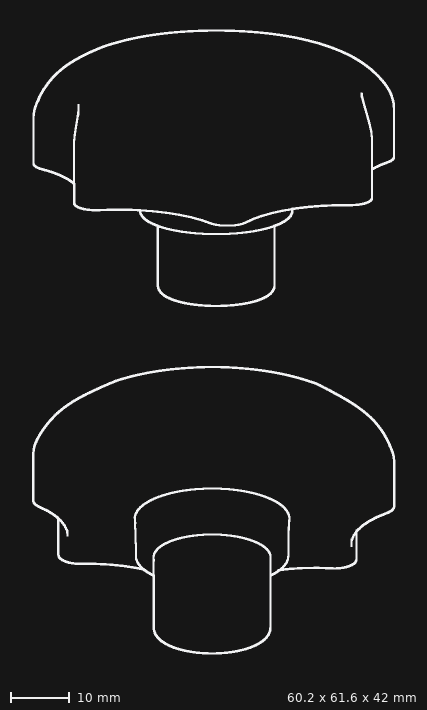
import cadquery as cq
import math

SPAN = 61.6
LOBES = 7
LOBE_PITCH = 360 / LOBES
LOBE_RADIUS = 3.75
LOBE_CENTRE = (SPAN / 2 - LOBE_RADIUS) / math.cos(math.radians(LOBE_PITCH / 4))
VALLEY_REACH = 25.3
TIP_REACH = LOBE_CENTRE + LOBE_RADIUS
TIP_TRIM = 0.03
BLANK_RADIUS = TIP_REACH + TIP_TRIM
RIM_ROUND = 1.25
BASE_ROUND = 0.3

GRIP_HEIGHT = 20.95
DOME_RADIUS = 22.85
DOME_EDGE_HEIGHT = 18.25

HUB_HEIGHT = 7.15
HUB_TOP_RADIUS = 13.2
HUB_BOTTOM_RADIUS = 13.0
HUB_ROUND = 0.3
BUSHING_RADIUS = 10.0
BUSHING_LENGTH = 13.9
BUSHING_ROUND = 1.0

HUB_BASE = BUSHING_LENGTH
GRIP_BASE = HUB_BASE + HUB_HEIGHT


def polar(radius, degrees):
    angle = math.radians(degrees)
    return (radius * math.cos(angle), radius * math.sin(angle))


def star_prism():
    """Seven round lobes joined by concave arcs tangent to them; one lobe points to -X."""
    half_pitch = LOBE_PITCH / 2
    lobe_along, lobe_across = polar(LOBE_CENTRE, half_pitch)

    gap = VALLEY_REACH - lobe_along
    valley_radius = (gap**2 + lobe_across**2 - LOBE_RADIUS**2) / (2 * (LOBE_RADIUS - gap))
    valley_centre = VALLEY_REACH + valley_radius
    share = LOBE_RADIUS / (LOBE_RADIUS + valley_radius)
    touch_along = lobe_along + share * (valley_centre - lobe_along)
    touch_across = lobe_across * (1 - share)
    touch_reach = math.hypot(touch_along, touch_across)
    touch_angle = math.degrees(math.atan2(touch_across, touch_along))

    outline = cq.Workplane("XY", origin=(0, 0, GRIP_BASE)).moveTo(*polar(touch_reach, -touch_angle))
    for lobe in range(LOBES):
        valley = lobe * LOBE_PITCH
        outline = outline.threePointArc(polar(VALLEY_REACH, valley), polar(touch_reach, valley + touch_angle))
        outline = outline.threePointArc(
            polar(TIP_REACH, valley + half_pitch),
            polar(touch_reach, valley + LOBE_PITCH - touch_angle),
        )
    return outline.close().extrude(GRIP_HEIGHT)


def domed_blank():
    """Turned envelope of the grip: shallow dome, then a tangent shoulder down to the lobe tips."""
    dome_rise = GRIP_HEIGHT - DOME_EDGE_HEIGHT
    edge_slope = 2 * math.atan2(dome_rise, DOME_RADIUS)
    shoulder_radius = (BLANK_RADIUS - DOME_RADIUS) / (1 - math.sin(edge_slope))
    shoulder_height = DOME_EDGE_HEIGHT - shoulder_radius * math.cos(edge_slope)
    dome_sphere = DOME_RADIUS / math.sin(edge_slope)
    mid_dome = (
        DOME_RADIUS * math.sin(edge_slope / 2) / math.sin(edge_slope),
        GRIP_HEIGHT - dome_sphere * (1 - math.cos(edge_slope / 2)),
    )
    mid_angle = (math.pi / 2 - edge_slope) / 2
    mid_shoulder = (
        BLANK_RADIUS - shoulder_radius * (1 - math.cos(mid_angle)),
        shoulder_height + shoulder_radius * math.sin(mid_angle),
    )
    profile = (
        cq.Workplane("XZ", origin=(0, 0, GRIP_BASE))
        .lineTo(BLANK_RADIUS, 0)
        .lineTo(BLANK_RADIUS, shoulder_height)
        .threePointArc(mid_shoulder, (DOME_RADIUS, DOME_EDGE_HEIGHT))
        .threePointArc(mid_dome, (0, GRIP_HEIGHT))
        .close()
    )
    return profile.revolve(360, (0, 0, 0), (0, 1, 0))


def build_hub():
    profile = (
        cq.Workplane("XZ", origin=(0, 0, HUB_BASE))
        .lineTo(HUB_BOTTOM_RADIUS, 0)
        .lineTo(HUB_TOP_RADIUS, HUB_HEIGHT)
        .lineTo(0, HUB_HEIGHT)
        .close()
    )
    return profile.revolve(360, (0, 0, 0), (0, 1, 0)).faces("<Z").edges().fillet(HUB_ROUND)


def build_knob():
    grip = domed_blank().intersect(star_prism())
    grip = grip.edges("%BSPLINE").fillet(RIM_ROUND)
    grip = grip.faces("<Z").edges().fillet(BASE_ROUND)
    return grip.union(build_hub())


def build_bushing():
    bushing = cq.Workplane("XY").circle(BUSHING_RADIUS).extrude(BUSHING_LENGTH)
    return bushing.faces("<Z").edges().fillet(BUSHING_ROUND)


knob = build_knob()
bushing = build_bushing()

result = cq.Compound.makeCompound([knob.val(), bushing.val()])